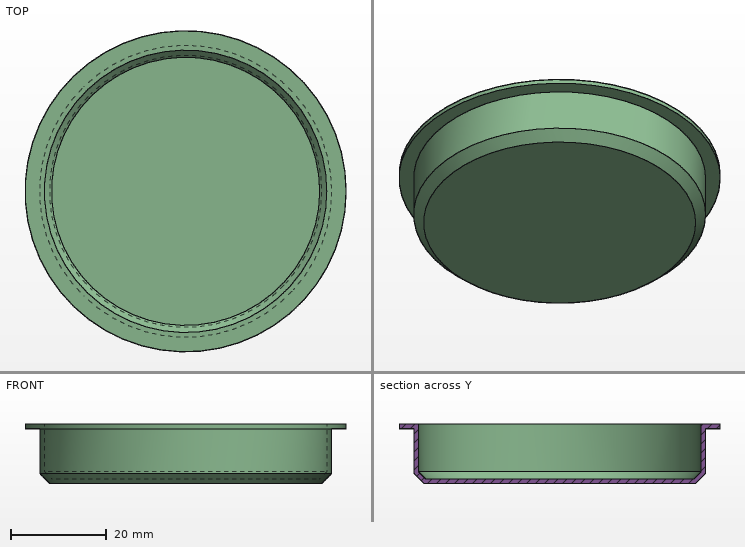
import cadquery as cq
import math

flange_diameter = 67.1
body_diameter = 61.0
wall = 1.0
total_height = 12.5
outer_bevel = 2.1

inner_bevel = outer_bevel - wall * (2 - math.sqrt(2))

flange_radius = flange_diameter / 2
body_radius = body_diameter / 2
cavity_radius = body_radius - wall
flange_underside = total_height - wall

half_section = (
    cq.Workplane("XZ")
    .moveTo(0, 0)
    .lineTo(body_radius - outer_bevel, 0)
    .lineTo(body_radius, outer_bevel)
    .lineTo(body_radius, flange_underside)
    .lineTo(flange_radius, flange_underside)
    .lineTo(flange_radius, total_height)
    .lineTo(cavity_radius, total_height)
    .lineTo(cavity_radius, wall + inner_bevel)
    .lineTo(cavity_radius - inner_bevel, wall)
    .lineTo(0, wall)
    .close()
)

result = half_section.revolve(360, (0, 0, 0), (0, 1, 0))